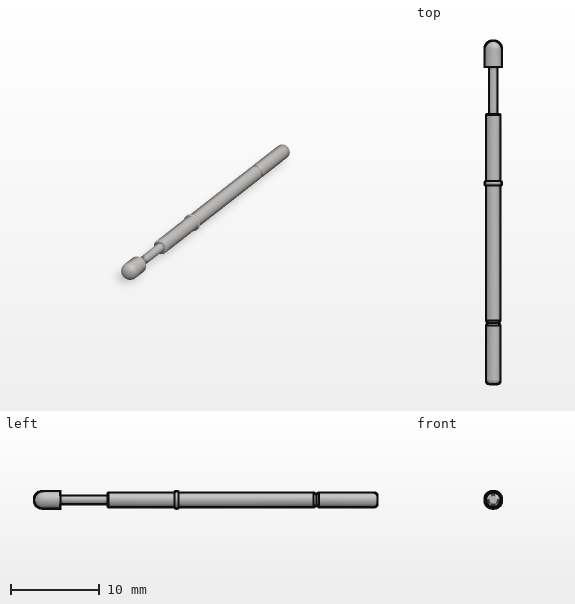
import cadquery as cq

TOTAL_LENGTH = 38.7

HEAD_DIAMETER = 2.0
HEAD_LENGTH = 3.0
STEM_DIAMETER = 1.0
PLUNGER_REACH = 8.3

BARREL_DIAMETER = 1.68
MOUTH_CHAMFER = 0.12
REAR_ROUNDING = 0.45

RING_DIAMETER = 2.0
RING_WIDTH = 0.5
RING_FROM_MOUTH = 7.78

GROOVE_WIDTH = 0.6
GROOVE_DEPTH = 0.22
GROOVE_FROM_REAR = 6.9

BARREL_LENGTH = TOTAL_LENGTH - PLUNGER_REACH


def cylinder(diameter, start, length):
    """Solid cylinder on the Y axis, from Y = start towards +Y."""
    base = cq.Workplane("XZ", origin=(0, start, 0))
    return base.circle(diameter / 2).extrude(-length)


def revolve_about_y(profile):
    """Full turn of a closed XY profile about the Y axis."""
    return profile.revolve(360, (0, 0, 0), (0, 1, 0))


def make_plunger():
    radius = HEAD_DIAMETER / 2
    head_start = TOTAL_LENGTH - HEAD_LENGTH
    dome_start = TOTAL_LENGTH - radius
    head = cylinder(HEAD_DIAMETER, head_start, dome_start - head_start)
    dome = cq.Workplane("XY").sphere(radius).translate((0, dome_start, 0))
    stem = cylinder(STEM_DIAMETER, BARREL_LENGTH, head_start - BARREL_LENGTH)
    return head.union(dome).union(stem)


def make_barrel():
    barrel = cylinder(BARREL_DIAMETER, 0, BARREL_LENGTH)
    barrel = barrel.faces(">Y").edges().chamfer(MOUTH_CHAMFER)
    return barrel.faces("<Y").edges().fillet(REAR_ROUNDING)


def make_ring():
    centre = BARREL_LENGTH - RING_FROM_MOUTH
    rim_radius = RING_WIDTH / 2
    outer = RING_DIAMETER / 2
    shoulder = outer - rim_radius
    profile = (
        cq.Workplane("XY")
        .moveTo(0, centre - rim_radius)
        .lineTo(shoulder, centre - rim_radius)
        .threePointArc((outer, centre), (shoulder, centre + rim_radius))
        .lineTo(0, centre + rim_radius)
        .close()
    )
    return revolve_about_y(profile)


def make_groove():
    surface = BARREL_DIAMETER / 2
    half_width = GROOVE_WIDTH / 2
    profile = (
        cq.Workplane("XY")
        .moveTo(surface, GROOVE_FROM_REAR - half_width)
        .lineTo(surface - GROOVE_DEPTH, GROOVE_FROM_REAR)
        .lineTo(surface, GROOVE_FROM_REAR + half_width)
        .close()
    )
    return revolve_about_y(profile)


result = make_barrel().union(make_ring()).cut(make_groove()).union(make_plunger())